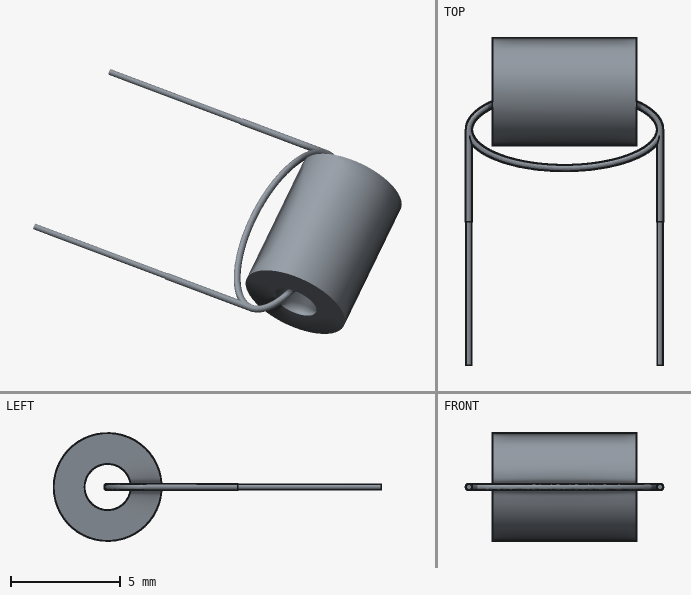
import cadquery as cq

CORE_LENGTH = 6.56
CORE_DIAMETER = 4.92
BORE_DIAMETER = 2.09

CONDUCTOR_DIAMETER = 0.27
SLEEVE_DIAMETER = 0.31

OVERALL_WIDTH = 9.0
OVERALL_DEPTH = 14.91

LOOP_OFFSET = 1.73
LOOP_HALF_WIDTH = (OVERALL_WIDTH - SLEEVE_DIAMETER) / 2
LOOP_HALF_DEPTH = 1.75
LOOP_CENTER_Y = -LOOP_OFFSET

BARE_LEAD_LENGTH = 6.53
LEAD_END_Y = CORE_DIAMETER / 2 - OVERALL_DEPTH
LEAD_LENGTH = LOOP_CENTER_Y - LEAD_END_Y
SLEEVED_LEAD_LENGTH = LEAD_LENGTH - BARE_LEAD_LENGTH


def make_core():
    """Plain tube with its axis along X."""
    return (
        cq.Workplane("YZ", origin=(-CORE_LENGTH / 2, 0, 0))
        .circle(CORE_DIAMETER / 2)
        .circle(BORE_DIAMETER / 2)
        .extrude(CORE_LENGTH)
    )


def make_loop(diameter):
    """Round-section elliptical ring in the XY plane, built as two halves that meet at the leads."""
    back_path = cq.Workplane("XY", origin=(0, LOOP_CENTER_Y, 0)).ellipseArc(
        LOOP_HALF_WIDTH, LOOP_HALF_DEPTH, 0, 180, startAtCurrent=False
    )
    section = cq.Workplane("XZ", origin=(LOOP_HALF_WIDTH, LOOP_CENTER_Y, 0)).circle(diameter / 2)
    back_half = section.sweep(back_path)
    front_half = back_half.mirror("XZ", (0, LOOP_CENTER_Y, 0))
    return back_half.union(front_half)


def make_leads(diameter, length):
    """Two straight rods that start at the loop's widest points."""
    lead_places = [(-LOOP_HALF_WIDTH, 0), (LOOP_HALF_WIDTH, 0)]
    return (
        cq.Workplane("XZ", origin=(0, LOOP_CENTER_Y, 0))
        .pushPoints(lead_places)
        .circle(diameter / 2)
        .extrude(length)
    )


def make_wire(diameter, lead_length):
    """Loop and both leads joined into one solid."""
    return make_loop(diameter).union(make_leads(diameter, lead_length))


def make_sleeve(conductor):
    """Insulation around the loop and the first stretch of each lead, hollowed by the conductor."""
    return make_wire(SLEEVE_DIAMETER, SLEEVED_LEAD_LENGTH).cut(conductor)


core = make_core()
conductor = make_wire(CONDUCTOR_DIAMETER, LEAD_LENGTH)
sleeve = make_sleeve(conductor)

result = cq.Compound.makeCompound([core.val(), conductor.solids().val(), sleeve.solids().val()])